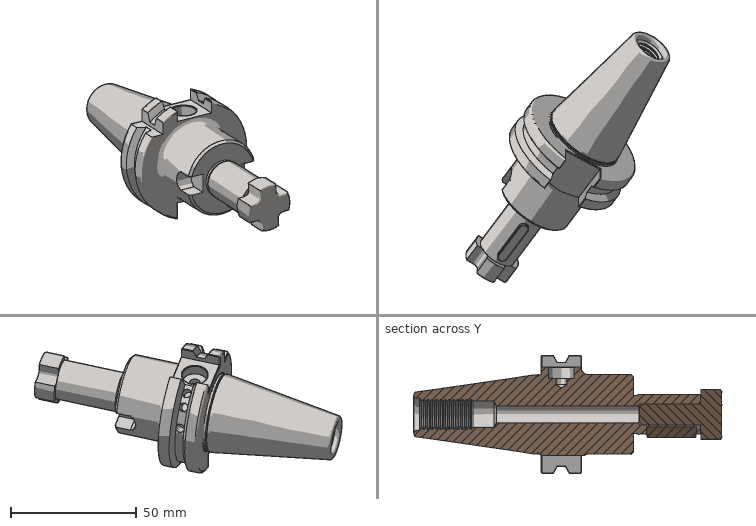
import cadquery as cq
import math

GAUGE_X = 48.0
FLANGE_X = 50.7
FLANGE_WIDTH = 16.1
FLANGE_END_X = FLANGE_X + FLANGE_WIDTH
BODY_END_X = 87.7
ARBOR_END_X = 114.5
TOTAL_LENGTH = 122.8

GAUGE_R = 15.9
TAPER_SLOPE = 7 / 48
SMALL_END_R = GAUGE_R - GAUGE_X * TAPER_SLOPE
SMALL_END_ROUND = 0.9
RELIEF_X = 49.2
RELIEF_WIDTH = 0.5
RELIEF_DEPTH = 0.5

FLANGE_R = 24.99
FLANGE_FRONT_ROUND = 1.0
FLANGE_FRONT_FILLET = 0.4
FLANGE_BACK_ROUND = 0.6
VEE_CENTRE_X = 58.8
VEE_ROOT_R = 22.2
VEE_ROOT_WIDTH = 3.3
VEE_HALF_ANGLE = 30.0
SLOT_HALF_WIDTH = 8.04
SLOT_CHAMFER = 0.4
TOP_SLOT_Z = 18.9
BOTTOM_SLOT_Z = 16.39
NOTCH_YZ = 14.9
CHIP_POCKET_R = 5.0
CHIP_POCKET_DEPTH = 4.5
CHIP_POCKET_CHAMFER = 0.31
CHIP_DRILL_R = 2.1
CHIP_DRILL_DEPTH = 2.5
BALANCE_HOLE_R = 1.7
BALANCE_HOLE_DEPTH = 4.9
BALANCE_HOLE_ANGLES = (30.0, 45.0, 67.5)

BODY_R = 16.0
BODY_CHAMFER = 1.0
FLANGE_FILLET = 2.8
DRIVE_SLOT_HALF_WIDTH = 3.99
DRIVE_SLOT_LENGTH = 9.0
DRIVE_SLOT_ARCH = 2.3
DRIVE_SLOT_FLOOR = 9.2

ARBOR_R = 8.0
NECK_DEPTH = 0.2
NECK_WIDTH = 1.2
NECK_RUNOUT = 0.7

DRILL_POINT_ANGLE = 118.0
MOUTH_ROUND = 1.1
RECESS_R = 6.4
RECESS_DEPTH = 2.3
LEAD_IN_LENGTH = 0.6
THREAD_R = 5.2
THREAD_HEIGHT = 0.7
THREAD_PITCH = 1.7
THREAD_FLAT = 0.2
THREAD_GROOVES = 12
THREAD_DEPTH = 31.9
COOLANT_R = 3.3

SHANK_R = 4.0
SHANK_LENGTH = 24.5
SHANK_CHAMFER = 1.1
SHANK_END_X = ARBOR_END_X - SHANK_LENGTH
HEAD_R = 10.01
HEAD_ROUND = 1.0
HEAD_ARM_HALF_WIDTH = 4.0
HEAD_ROOT_FILLET = 2.0
HEAD_TURN = 4.7
HEAD_ARMS = 4

KEY_X = 93.0
KEY_LENGTH = 19.6
KEY_WIDTH = 4.0
KEY_HEIGHT = 4.0
KEY_OUTER_Z = -9.2
KEY_CHAMFER = 0.31


def turned(profile):
    """Revolve a closed Workplane profile, drawn as (x, radius), about the X axis."""
    return profile.close().revolve(360, (0, 0, 0), (1, 0, 0))


def along_x(start_x):
    """YZ workplane at start_x; local axes are +Y and +Z, extrusion runs towards +X."""
    return cq.Workplane("YZ", origin=(start_x, 0, 0))


def drill_tip(radius):
    return radius / math.tan(math.radians(DRILL_POINT_ANGLE / 2))


def outer_form():
    relief_end = RELIEF_X + RELIEF_WIDTH
    vee_root = VEE_ROOT_WIDTH / 2
    vee_rim = vee_root + (FLANGE_R - VEE_ROOT_R) * math.tan(math.radians(VEE_HALF_ANGLE))
    bend = math.sqrt(0.5)
    small_end_mid = SMALL_END_ROUND * (1 - bend)
    front_mid = FLANGE_FRONT_ROUND * (1 - bend)
    front_fillet_mid = FLANGE_FRONT_FILLET * (1 - bend)
    back_mid = FLANGE_BACK_ROUND * (1 - bend)
    fillet_mid = FLANGE_FILLET * (1 - bend)
    neck_r = ARBOR_R - NECK_DEPTH
    round_end_r = SMALL_END_R + SMALL_END_ROUND * TAPER_SLOPE
    profile = (
        cq.Workplane("XY")
        .lineTo(0, SMALL_END_R - SMALL_END_ROUND)
        .threePointArc(
            (small_end_mid, SMALL_END_R - small_end_mid),
            (SMALL_END_ROUND, round_end_r),
        )
        .lineTo(GAUGE_X, GAUGE_R)
        .lineTo(RELIEF_X, GAUGE_R)
        .lineTo(RELIEF_X, GAUGE_R - RELIEF_DEPTH)
        .lineTo(relief_end, GAUGE_R - RELIEF_DEPTH)
        .lineTo(relief_end, GAUGE_R)
        .lineTo(FLANGE_X - FLANGE_FRONT_FILLET, GAUGE_R)
        .threePointArc(
            (FLANGE_X - front_fillet_mid, GAUGE_R + front_fillet_mid),
            (FLANGE_X, GAUGE_R + FLANGE_FRONT_FILLET),
        )
        .lineTo(FLANGE_X, FLANGE_R - FLANGE_FRONT_ROUND)
        .threePointArc(
            (FLANGE_X + front_mid, FLANGE_R - front_mid),
            (FLANGE_X + FLANGE_FRONT_ROUND, FLANGE_R),
        )
        .lineTo(VEE_CENTRE_X - vee_rim, FLANGE_R)
        .lineTo(VEE_CENTRE_X - vee_root, VEE_ROOT_R)
        .lineTo(VEE_CENTRE_X + vee_root, VEE_ROOT_R)
        .lineTo(VEE_CENTRE_X + vee_rim, FLANGE_R)
        .lineTo(FLANGE_END_X - FLANGE_BACK_ROUND, FLANGE_R)
        .threePointArc(
            (FLANGE_END_X - back_mid, FLANGE_R - back_mid),
            (FLANGE_END_X, FLANGE_R - FLANGE_BACK_ROUND),
        )
        .lineTo(FLANGE_END_X, BODY_R + FLANGE_FILLET)
        .threePointArc(
            (FLANGE_END_X + fillet_mid, BODY_R + fillet_mid),
            (FLANGE_END_X + FLANGE_FILLET, BODY_R),
        )
        .lineTo(BODY_END_X - BODY_CHAMFER, BODY_R)
        .lineTo(BODY_END_X, BODY_R - BODY_CHAMFER)
        .lineTo(BODY_END_X, neck_r)
        .lineTo(BODY_END_X + NECK_WIDTH, neck_r)
        .lineTo(BODY_END_X + NECK_WIDTH + NECK_RUNOUT, ARBOR_R)
        .lineTo(ARBOR_END_X, ARBOR_R)
        .lineTo(ARBOR_END_X, 0)
    )
    return turned(profile)


def thread_groove(start_x):
    """Ring that stands in for one turn of the internal thread."""
    flank = (THREAD_PITCH - 2 * THREAD_FLAT) / 2
    root_r = THREAD_R + THREAD_HEIGHT
    return turned(
        cq.Workplane("XY", origin=(start_x, 0, 0))
        .lineTo(0, THREAD_R)
        .lineTo(flank, root_r)
        .lineTo(flank + THREAD_FLAT, root_r)
        .lineTo(2 * flank + THREAD_FLAT, THREAD_R)
        .lineTo(2 * flank + THREAD_FLAT, 0)
    )


def axial_bores():
    """Mouth, recess, thread core and coolant bore, cut from the small end."""
    mouth_mid = MOUTH_ROUND * (1 - math.sqrt(0.5))
    lead_in_end = RECESS_DEPTH + LEAD_IN_LENGTH
    tip = drill_tip(THREAD_R) - drill_tip(COOLANT_R)
    front = turned(
        cq.Workplane("XY")
        .lineTo(0, RECESS_R + MOUTH_ROUND)
        .threePointArc((mouth_mid, RECESS_R + mouth_mid), (MOUTH_ROUND, RECESS_R))
        .lineTo(RECESS_DEPTH, RECESS_R)
        .lineTo(lead_in_end, THREAD_R)
        .lineTo(THREAD_DEPTH, THREAD_R)
        .lineTo(THREAD_DEPTH + tip, COOLANT_R)
        .lineTo(SHANK_END_X, COOLANT_R)
        .lineTo(SHANK_END_X, 0)
    )
    for number in range(THREAD_GROOVES):
        front = front.union(thread_groove(lead_in_end + THREAD_FLAT + number * THREAD_PITCH))
    return front.union(along_x(SHANK_END_X).circle(SHANK_R).extrude(SHANK_LENGTH))


def flange_slot(floor_z):
    """Slot through the flange on +Z, bevelled at the rim and around its front opening."""
    rim_z = math.sqrt(FLANGE_R**2 - SLOT_HALF_WIDTH**2)
    clear = FLANGE_R - rim_z + 1.2
    wall_z = rim_z - SLOT_CHAMFER
    rim_y = SLOT_HALF_WIDTH + SLOT_CHAMFER + clear
    channel = (
        along_x(FLANGE_X)
        .moveTo(-SLOT_HALF_WIDTH, floor_z)
        .lineTo(SLOT_HALF_WIDTH, floor_z)
        .lineTo(SLOT_HALF_WIDTH, wall_z)
        .lineTo(rim_y, rim_z + clear)
        .lineTo(-rim_y, rim_z + clear)
        .lineTo(-SLOT_HALF_WIDTH, wall_z)
        .close()
        .extrude(FLANGE_WIDTH + FLANGE_FILLET)
    )
    opening = front_bevel(-SLOT_HALF_WIDTH, SLOT_HALF_WIDTH, floor_z)
    return channel.union(opening)


def front_bevel(y_low, y_high, floor_z):
    """45-degree bevel that widens a slot, open towards +Z, at the flange front face."""
    height = FLANGE_R + 1.2 - floor_z
    return (
        along_x(FLANGE_X)
        .center((y_low + y_high) / 2, floor_z + height / 2)
        .rect(y_high - y_low + 2 * SLOT_CHAMFER, height + 2 * SLOT_CHAMFER)
        .extrude(SLOT_CHAMFER, taper=45)
    )


def flange_notch():
    """Square notch in the (-Y, +Z) part of the rim."""
    size = FLANGE_R - NOTCH_YZ
    corner = (-FLANGE_R, NOTCH_YZ)
    channel = along_x(FLANGE_X).center(*corner).rect(size, size, centered=False).extrude(FLANGE_WIDTH)
    return channel.union(front_bevel(-FLANGE_R, -NOTCH_YZ, NOTCH_YZ))


def chip_pocket():
    """Round pocket in the floor of the top slot, with a drilled hole in its base."""
    base = CHIP_POCKET_DEPTH
    drill_end = base + CHIP_DRILL_DEPTH
    profile = (
        cq.Workplane("XZ", origin=(VEE_CENTRE_X, 0, TOP_SLOT_Z))
        .lineTo(CHIP_POCKET_R + CHIP_POCKET_CHAMFER, 0)
        .lineTo(CHIP_POCKET_R, -CHIP_POCKET_CHAMFER)
        .lineTo(CHIP_POCKET_R, -base)
        .lineTo(CHIP_DRILL_R, -base)
        .lineTo(CHIP_DRILL_R, -drill_end)
        .lineTo(0, -drill_end - drill_tip(CHIP_DRILL_R))
        .close()
    )
    return profile.revolve(360, (0, 0, 0), (0, 1, 0))


def balance_hole(angle):
    """Radial hole in the root of the vee groove."""
    return (
        cq.Workplane("XY", origin=(VEE_CENTRE_X, 0, VEE_ROOT_R - BALANCE_HOLE_DEPTH))
        .circle(BALANCE_HOLE_R)
        .extrude(FLANGE_R - VEE_ROOT_R + BALANCE_HOLE_DEPTH)
        .rotate((0, 0, 0), (1, 0, 0), -angle)
    )


def drive_slot():
    """Driving slot at the body end face on -Y, with an arched blind end."""
    blind_x = BODY_END_X - DRIVE_SLOT_LENGTH
    arch_x = blind_x + DRIVE_SLOT_ARCH
    return (
        cq.Workplane("XZ", origin=(0, -DRIVE_SLOT_FLOOR, 0))
        .moveTo(BODY_END_X, DRIVE_SLOT_HALF_WIDTH)
        .lineTo(arch_x, DRIVE_SLOT_HALF_WIDTH)
        .threePointArc((blind_x, 0), (arch_x, -DRIVE_SLOT_HALF_WIDTH))
        .lineTo(BODY_END_X, -DRIVE_SLOT_HALF_WIDTH)
        .close()
        .extrude(BODY_R - DRIVE_SLOT_FLOOR)
    )


def key_blank():
    """Round-ended block on the -Z side of the arbor: shape of the key and of its seat."""
    return (
        cq.Workplane("XY", origin=(KEY_X + KEY_LENGTH / 2, 0, KEY_OUTER_Z))
        .slot2D(KEY_LENGTH, KEY_WIDTH)
        .extrude(KEY_HEIGHT)
    )


def make_key():
    return key_blank().faces("<Z").chamfer(KEY_CHAMFER)


def make_holder():
    holder = outer_form().cut(axial_bores())
    holder = holder.cut(flange_slot(TOP_SLOT_Z))
    holder = holder.cut(flange_slot(BOTTOM_SLOT_Z).rotate((0, 0, 0), (1, 0, 0), 180))
    holder = holder.cut(flange_notch())
    holder = holder.cut(chip_pocket())
    for angle in BALANCE_HOLE_ANGLES:
        holder = holder.cut(balance_hole(angle))
    holder = holder.cut(drive_slot())
    holder = holder.cut(drive_slot().mirror("XZ"))
    return holder.cut(key_blank())


def make_screw():
    """Arbor screw: plain shank and a cross-shaped head with rounded roots."""
    head_length = TOTAL_LENGTH - ARBOR_END_X
    head = along_x(ARBOR_END_X).circle(HEAD_R).extrude(head_length)
    gap = (
        along_x(ARBOR_END_X)
        .center(HEAD_ARM_HALF_WIDTH, HEAD_ARM_HALF_WIDTH)
        .rect(HEAD_R, HEAD_R, centered=False)
        .extrude(head_length)
        .edges("|X and <Y and <Z")
        .fillet(HEAD_ROOT_FILLET)
    )
    for arm in range(HEAD_ARMS):
        turn = HEAD_TURN + arm * 360 / HEAD_ARMS
        head = head.cut(gap.rotate((0, 0, 0), (1, 0, 0), turn))
    shank = along_x(SHANK_END_X).circle(SHANK_R).extrude(SHANK_LENGTH).faces("<X").chamfer(SHANK_CHAMFER)
    return head.faces(">X").edges().fillet(HEAD_ROUND).union(shank)


holder = make_holder()
screw = make_screw()
key = make_key()

result = cq.Compound.makeCompound([holder.val(), screw.val(), key.val()])